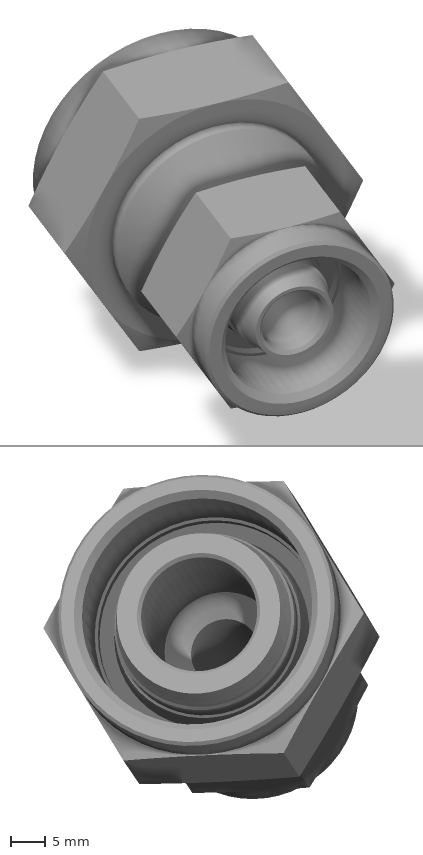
import cadquery as cq
import math


LENGTH = 51.35
BIG_HEX_START = 5.5
BIG_HEX_END = 20.45
SHOULDER_END = 22.25
SMALL_HEX_START = 32.35
SMALL_HEX_END = 46.35

BIG_ACROSS_FLATS = 41.0
SMALL_ACROSS_FLATS = 30.0
BIG_COLLAR_RADIUS = 20.4
SMALL_COLLAR_RADIUS = 14.95
COLLAR_CHAMFER = 0.45
HEX_CHAMFER_ANGLE = 15.0
MOUTH_CHAMFER = 1.05
THREAD_STEP = 0.45
THREAD_DEPTH = 11.65

SHOULDER_RADIUS = 16.55
NECK_RADIUS = 11.05

BIG_TIP_RADIUS = 12.05
SMALL_TIP_RADIUS = 6.15
NOSE_RECESS = 2.15
NOSE_CONE_ANGLE = 12.0
NOSE_LENGTH = 10.9
FRONT_CONE_LENGTH = 4.1
RAMP_ANGLE = 31.0
RAMP_RISE = 0.35
REAR_CONE_LENGTH = 3.25

BORE_RADIUS = 5.05
COUNTERBORE_RADIUS = 8.6
COUNTERBORE_END = SHOULDER_END
BORE_CONE_ANGLE = 60.0
BORE_CHAMFER = 0.5


def tangent(angle):
    return math.tan(math.radians(angle))


def revolve_about_x(points):
    """Solid of revolution from (x, radius) points."""
    return cq.Workplane("XY").polyline(points).close().revolve(360, (0, 0, 0), (1, 0, 0))


def make_hexagon(start, end, across_flats):
    """Hexagon along X with corners at +Y and -Y, chamfered at both ends."""
    flat_radius = across_flats / 2
    corner_radius = flat_radius / math.cos(math.radians(30))
    chamfer_length = (corner_radius - flat_radius) * tangent(HEX_CHAMFER_ANGLE)
    prism = (
        cq.Workplane("YZ", origin=(start, 0, 0))
        .polygon(6, 2 * corner_radius)
        .extrude(end - start)
    )
    chamfer_envelope = revolve_about_x([
        (start, 0),
        (start, flat_radius),
        (start + chamfer_length, corner_radius),
        (end - chamfer_length, corner_radius),
        (end, flat_radius),
        (end, 0),
    ])
    return prism.intersect(chamfer_envelope)


def make_nut(length, collar_length, across_flats, collar_radius, hole_radius):
    """Swivel nut with its mouth at X = 0 and its back face at X = length."""
    hexagon = make_hexagon(collar_length, length, across_flats)
    collar = revolve_about_x([
        (0, 0),
        (0, collar_radius - COLLAR_CHAMFER),
        (COLLAR_CHAMFER, collar_radius),
        (collar_length, collar_radius),
        (collar_length, 0),
    ])
    thread_radius = hole_radius + THREAD_STEP
    opening = revolve_about_x([
        (0, 0),
        (0, thread_radius + MOUTH_CHAMFER),
        (MOUTH_CHAMFER, thread_radius),
        (THREAD_DEPTH, thread_radius),
        (THREAD_DEPTH, hole_radius),
        (length, hole_radius),
        (length, 0),
    ])
    return hexagon.union(collar).cut(opening)


def nose_outline(tip_radius):
    """Points from the nose tip to its root: a cone interrupted by a cylindrical ring seat."""
    slope = tangent(NOSE_CONE_ANGLE)
    front_radius = tip_radius + FRONT_CONE_LENGTH * slope
    seat_radius = front_radius + RAMP_RISE
    root_radius = tip_radius + NOSE_LENGTH * slope
    ramp_start = NOSE_RECESS + FRONT_CONE_LENGTH
    seat_start = ramp_start + RAMP_RISE / tangent(RAMP_ANGLE)
    root = NOSE_RECESS + NOSE_LENGTH
    seat_end = root - REAR_CONE_LENGTH
    return [
        (NOSE_RECESS, tip_radius),
        (ramp_start, front_radius),
        (seat_start, seat_radius),
        (seat_end, seat_radius),
        (seat_end, root_radius - REAR_CONE_LENGTH * slope),
        (root, root_radius),
    ]


def make_adaptor():
    """Hollow adaptor with a nose at each end and a 45 degree taper down to the neck."""
    big_nose = nose_outline(BIG_TIP_RADIUS)
    small_nose = [(LENGTH - x, radius) for x, radius in reversed(nose_outline(SMALL_TIP_RADIUS))]
    left_tip = NOSE_RECESS
    right_tip = LENGTH - NOSE_RECESS
    nose_root = NOSE_RECESS + NOSE_LENGTH
    taper_end = SHOULDER_END + SHOULDER_RADIUS - NECK_RADIUS
    bore_start = COUNTERBORE_END + (COUNTERBORE_RADIUS - BORE_RADIUS) / tangent(BORE_CONE_ANGLE)
    middle = [
        (nose_root, SHOULDER_RADIUS),
        (SHOULDER_END, SHOULDER_RADIUS),
        (taper_end, NECK_RADIUS),
        (LENGTH - nose_root, NECK_RADIUS),
    ]
    bore = [
        (right_tip, BORE_RADIUS + BORE_CHAMFER),
        (right_tip - BORE_CHAMFER, BORE_RADIUS),
        (bore_start, BORE_RADIUS),
        (COUNTERBORE_END, COUNTERBORE_RADIUS),
        (left_tip + BORE_CHAMFER, COUNTERBORE_RADIUS),
        (left_tip, COUNTERBORE_RADIUS + BORE_CHAMFER),
    ]
    return revolve_about_x(big_nose + middle + small_nose + bore)


adaptor = make_adaptor()

big_nut = make_nut(
    BIG_HEX_END, BIG_HEX_START, BIG_ACROSS_FLATS, BIG_COLLAR_RADIUS, SHOULDER_RADIUS
)

small_nut = make_nut(
    LENGTH - SMALL_HEX_START,
    LENGTH - SMALL_HEX_END,
    SMALL_ACROSS_FLATS,
    SMALL_COLLAR_RADIUS,
    NECK_RADIUS,
)
small_nut = small_nut.rotate((0, 0, 0), (0, 0, 1), 180).translate((LENGTH, 0, 0))

result = cq.Compound.makeCompound([adaptor.val(), big_nut.val(), small_nut.val()])